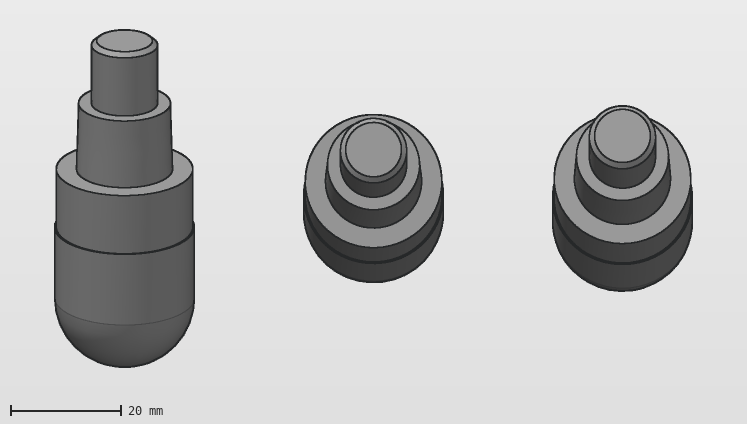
import cadquery as cq
import math

total_height = 63.35
cap_top = 26.6
collar_top = 38.1
taper_top = 51.05

cap_diameter = 25.4
cap_radius = cap_diameter / 2
collar_radius = 12.4
taper_bottom_radius = 8.75
taper_top_radius = 8.35
pin_radius = 6.0
pin_chamfer_width = 0.95
pin_chamfer_height = 0.8


def make_cap():
    """Round cap: a cylinder closed below by a hemispherical dome."""
    dome_diagonal = cap_radius * math.cos(math.pi / 4)
    return (
        cq.Workplane("XZ")
        .moveTo(0, 0)
        .threePointArc((dome_diagonal, cap_radius - dome_diagonal), (cap_radius, cap_radius))
        .lineTo(cap_radius, cap_top)
        .lineTo(0, cap_top)
        .close()
        .revolve(360, (0, 0, 0), (0, 1, 0))
    )


def make_stem():
    """Stem on top of the cap: collar, slightly tapered section and chamfered pin."""
    return (
        cq.Workplane("XZ")
        .moveTo(0, cap_top)
        .lineTo(collar_radius, cap_top)
        .lineTo(collar_radius, collar_top)
        .lineTo(taper_bottom_radius, collar_top)
        .lineTo(taper_top_radius, taper_top)
        .lineTo(pin_radius, taper_top)
        .lineTo(pin_radius, total_height - pin_chamfer_height)
        .lineTo(pin_radius - pin_chamfer_width, total_height)
        .lineTo(0, total_height)
        .close()
        .revolve(360, (0, 0, 0), (0, 1, 0))
    )


cap = make_cap()
stem = make_stem()

result = cq.Compound.makeCompound([cap.val(), stem.val()])